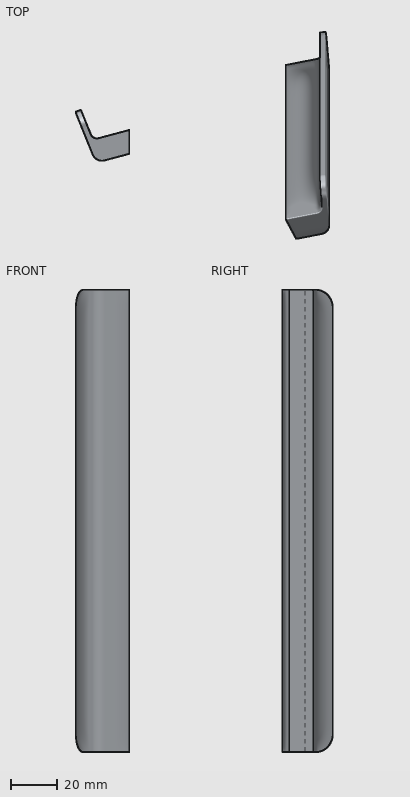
import cadquery as cq
import math

width = 23.2
depth = 22.0
length = 200.0

blade_lean = math.radians(22.0)
arm_rise = math.radians(15.0)
blade_thickness = 2.5
arm_end_height = 10.5
outer_bend_radius = 4.5
inner_bend_radius = 2.8

blade_corner_radius = 8.0
edge_round = 0.5
rim_pick_offset = 2.0

along_blade = (-math.sin(blade_lean), math.cos(blade_lean))
across_blade = (math.cos(blade_lean), math.sin(blade_lean))
arm_slope = math.tan(arm_rise)

tip_overshoot = edge_round * (math.cos(blade_lean) + math.sin(blade_lean) - 1)
tip_top = depth + tip_overshoot
tip_outer = (-tip_overshoot, tip_top - blade_thickness * across_blade[1])
tip_inner = (-tip_overshoot + blade_thickness * across_blade[0], tip_top)

bend_y = outer_bend_radius
bend_x = tip_outer[0] + (outer_bend_radius - (bend_y - tip_outer[1]) * across_blade[1]) / across_blade[0]

arm_base_y = bend_y - outer_bend_radius / math.cos(arm_rise) - bend_x * arm_slope


def blade_meets_arm(blade_point, arm_y_at_zero):
    """Point where a blade face through blade_point crosses an arm face."""
    px, py = blade_point
    dx, dy = along_blade
    travel = (arm_y_at_zero + arm_slope * px - py) / (dy - arm_slope * dx)
    return (px + travel * dx, py + travel * dy)


outer_corner = blade_meets_arm(tip_outer, arm_base_y)
inner_corner = blade_meets_arm(tip_inner, arm_base_y + arm_end_height)
arm_end_lower = (width, arm_base_y + arm_slope * width)
arm_end_upper = (width, arm_end_lower[1] + arm_end_height)


def edge_at(point):
    """Selector for the lengthwise edge passing through a profile point."""
    x, y = point
    return cq.selectors.NearestToPointSelector((x, y, length / 2))


def make_bar():
    outline = [tip_outer, outer_corner, arm_end_lower, arm_end_upper, inner_corner, tip_inner]
    bar = cq.Workplane("XY").polyline(outline).close().extrude(length)
    bar = bar.edges("|Z").edges(edge_at(outer_corner)).fillet(outer_bend_radius)
    return bar.edges("|Z").edges(edge_at(inner_corner)).fillet(inner_bend_radius)


def round_blade_corners(bar):
    tip_direction = cq.Vector(along_blade[0], along_blade[1], 0)
    tip_face = bar.faces(cq.selectors.DirectionMinMaxSelector(tip_direction))
    return tip_face.edges("not |Z").fillet(blade_corner_radius)


def soften_rims(bar):
    """Round the rims of the outer and inner surfaces; the arm's flat end stays sharp."""
    for point in (arm_end_lower, arm_end_upper):
        rim_point = (width - rim_pick_offset, point[1] - rim_pick_offset * arm_slope, 0)
        rim_edge = bar.faces("<Z").edges(cq.selectors.NearestToPointSelector(rim_point))
        bar = rim_edge.fillet(edge_round)
    return bar


result = soften_rims(round_blade_corners(make_bar()))